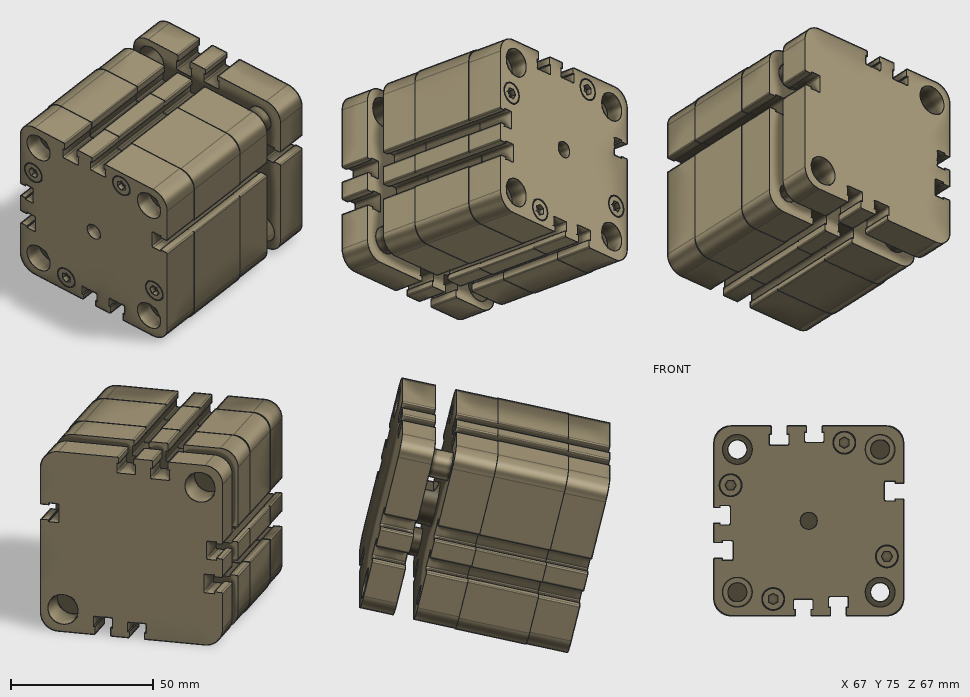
import cadquery as cq
import math


QUARTER_TURNS = (0, 90, 180, 270)

TUBE_SIDE = 67.0
CAP_INSET = 0.1
CAP_SIDE = TUBE_SIDE - 2 * CAP_INSET
LENGTH = 75.0
CAP_LENGTH = 15.0
PLATE_LENGTH = 12.0
GAP = 7.5
TUBE_LENGTH = LENGTH - PLATE_LENGTH - GAP - 2 * CAP_LENGTH

REAR_Y = -LENGTH / 2
TUBE_Y = REAR_Y + CAP_LENGTH
FRONT_CAP_Y = TUBE_Y + TUBE_LENGTH
GAP_Y = FRONT_CAP_Y + CAP_LENGTH
PLATE_Y = GAP_Y + GAP

CAP_CORNER_RADIUS = 6.5
TUBE_CORNER_RADIUS = 6.15

SLOT_MOUTH_WIDTH = 5.5
SLOT_UNDERCUT = 0.7
SLOT_FLOOR_RADIUS = 0.5
CAP_MOUTH_RADIUS = 0.5
TUBE_MOUTH_RADIUS = 0.4
DEEP_SLOT_OFFSET = -10.4
DEEP_SLOT_DEPTH = 6.8
DEEP_SLOT_LIP = 3.0
CAP_DEEP_SLOT_EXTRA = 0.15
SHALLOW_SLOT_OFFSET = 1.95
SHALLOW_SLOT_DEPTH = 5.85
SHALLOW_SLOT_LIP = 2.25
SHALLOW_SLOT_ANGLES = (0, 180, 270)

HOLE_OFFSET = 25.1
HOLE_DIAMETER = 6.7
COUNTERBORE_DIAMETER = 10.5
COUNTERBORE_DEPTH = 6.6
PLATE_HOLE_DIAMETER = 11.0
GUIDE_ROD_OFFSET = 24.1
GUIDE_ROD_DIAMETER = 10.0

SCREW_NEAR = 12.5
SCREW_FAR = 27.5
SCREW_RECESS_DIAMETER = 8.0
SCREW_HEAD_DIAMETER = 7.5
SCREW_RECESS_DEPTH = 3.75
SOCKET_FLATS = 3.45
SOCKET_DEPTH = 2.0

CENTRE_HOLE_DIAMETER = 6.0
CENTRE_HOLE_DEPTH = 7.5

PISTON_ROD_DIAMETER = 16.0
PISTON_ROD_FLATS = 13.0
FLAT_LENGTH = 5.5
ROD_END_LENGTH = 1.9
ROD_END_RADIUS = 2.0


def cylinder(x, z, diameter, start, length):
    """Cylinder along +Y from Y = start, centred at the given X and Z."""
    solid = cq.Solid.makeCylinder(diameter / 2, length, cq.Vector(x, start, z), cq.Vector(0, 1, 0))
    return cq.Workplane("XY").add(solid)


def turned(shape, angle):
    """Turn a shape about the Y axis."""
    return shape.rotate((0, 0, 0), (0, 1, 0), angle)


def t_slot(top, near, far, lip, depth, mouth_radius, start, length):
    """T-slot cutter opening in the face at Z = top, with mouth walls at X = near and X = far."""
    lip_z = top - lip
    floor_z = top - depth
    outline = (
        cq.Workplane("XZ", origin=(0, start, 0))
        .moveTo(far - mouth_radius, top)
        .radiusArc((far, top - mouth_radius), mouth_radius)
        .lineTo(far, lip_z)
        .lineTo(far - SLOT_UNDERCUT, lip_z)
        .lineTo(far - SLOT_UNDERCUT, floor_z)
        .lineTo(near + SLOT_UNDERCUT, floor_z)
        .lineTo(near + SLOT_UNDERCUT, lip_z)
        .lineTo(near, lip_z)
        .lineTo(near, top - mouth_radius)
        .radiusArc((near + mouth_radius, top), mouth_radius)
        .close()
    )
    cutter = outline.extrude(-length)
    return cutter.edges("|Y").edges("<Z").fillet(SLOT_FLOOR_RADIUS)


def slotted_block(side, start, length, corner_radius, mouth_radius, deep_slot_extra):
    """Rounded square block with T-slots along its whole length."""
    block = cq.Workplane("XY").box(side, length, side).translate((0, start + length / 2, 0))
    block = block.edges("|Y").fillet(corner_radius)
    half_mouth = SLOT_MOUTH_WIDTH / 2
    deep_near = DEEP_SLOT_OFFSET + half_mouth
    deep_far = DEEP_SLOT_OFFSET - half_mouth - deep_slot_extra
    deep_slot = t_slot(
        side / 2, deep_near, deep_far, DEEP_SLOT_LIP, DEEP_SLOT_DEPTH, mouth_radius, start, length
    )
    shallow_near = SHALLOW_SLOT_OFFSET + half_mouth
    shallow_far = SHALLOW_SLOT_OFFSET - half_mouth
    shallow_slot = t_slot(
        side / 2, shallow_near, shallow_far, SHALLOW_SLOT_LIP, SHALLOW_SLOT_DEPTH, mouth_radius, start, length
    )
    for angle in QUARTER_TURNS:
        block = block.cut(turned(deep_slot, angle))
    for angle in SHALLOW_SLOT_ANGLES:
        block = block.cut(turned(shallow_slot, angle))
    return block


def end_block(start, length):
    """Slotted block with the section shared by both caps and the plate."""
    return slotted_block(CAP_SIDE, start, length, CAP_CORNER_RADIUS, CAP_MOUTH_RADIUS, CAP_DEEP_SLOT_EXTRA)


def piston_rod():
    """Round rod across the gap, rounded at the plate, with wrench flats facing -X and +X."""
    radius = PISTON_ROD_DIAMETER / 2
    half_flats = PISTON_ROD_FLATS / 2
    end_radius = radius - ROD_END_RADIUS + math.sqrt(ROD_END_RADIUS**2 - ROD_END_LENGTH**2)
    profile = (
        cq.Workplane("XY")
        .moveTo(0, GAP_Y)
        .lineTo(radius, GAP_Y)
        .lineTo(radius, PLATE_Y - ROD_END_LENGTH)
        .radiusArc((end_radius, PLATE_Y), -ROD_END_RADIUS)
        .lineTo(0, PLATE_Y)
        .close()
    )
    rod = profile.revolve(360, (0, 0, 0), (0, 1, 0))
    flat_y = PLATE_Y - FLAT_LENGTH
    run_out = radius - half_flats
    flat_outline = [
        (half_flats, PLATE_Y),
        (half_flats, flat_y),
        (radius, flat_y - run_out),
        (radius, PLATE_Y),
    ]
    flat = cq.Workplane("XY").polyline(flat_outline).close().extrude(radius, both=True)
    return rod.cut(flat).cut(flat.mirror("YZ"))


def screw_recess(x, z):
    """Ring-shaped gap around a flush screw head, plus the hexagon socket in the head."""
    recess = cylinder(x, z, SCREW_RECESS_DIAMETER, REAR_Y, SCREW_RECESS_DEPTH)
    head = cylinder(x, z, SCREW_HEAD_DIAMETER, REAR_Y, SCREW_RECESS_DEPTH)
    socket = (
        cq.Workplane("XZ", origin=(x, REAR_Y, z))
        .transformed(rotate=(0, 0, 90))
        .polygon(6, SOCKET_FLATS / math.cos(math.pi / 6))
        .extrude(-SOCKET_DEPTH)
    )
    return recess.cut(head).union(socket)


rear_cap = end_block(REAR_Y, CAP_LENGTH)
tube = slotted_block(TUBE_SIDE, TUBE_Y, TUBE_LENGTH, TUBE_CORNER_RADIUS, TUBE_MOUTH_RADIUS, 0)
front_cap = end_block(FRONT_CAP_Y, CAP_LENGTH)
plate = end_block(PLATE_Y, PLATE_LENGTH)
body = rear_cap.union(tube).union(front_cap)

for side_x in (-1, 1):
    for side_z in (-1, 1):
        x = side_x * HOLE_OFFSET
        z = side_z * HOLE_OFFSET
        body = body.cut(cylinder(x, z, COUNTERBORE_DIAMETER, REAR_Y, COUNTERBORE_DEPTH))
        body = body.cut(cylinder(x, z, HOLE_DIAMETER, REAR_Y, GAP_Y - REAR_Y))
        if side_x != side_z:
            plate = plate.cut(cylinder(x, z, PLATE_HOLE_DIAMETER, PLATE_Y, PLATE_LENGTH))

body = body.cut(cylinder(0, 0, CENTRE_HOLE_DIAMETER, REAR_Y, CENTRE_HOLE_DEPTH))
for angle in QUARTER_TURNS:
    body = body.cut(turned(screw_recess(SCREW_NEAR, SCREW_FAR), angle))

result = body.union(plate).union(piston_rod())
for side in (-1, 1):
    offset = side * GUIDE_ROD_OFFSET
    result = result.union(cylinder(offset, offset, GUIDE_ROD_DIAMETER, GAP_Y, GAP))